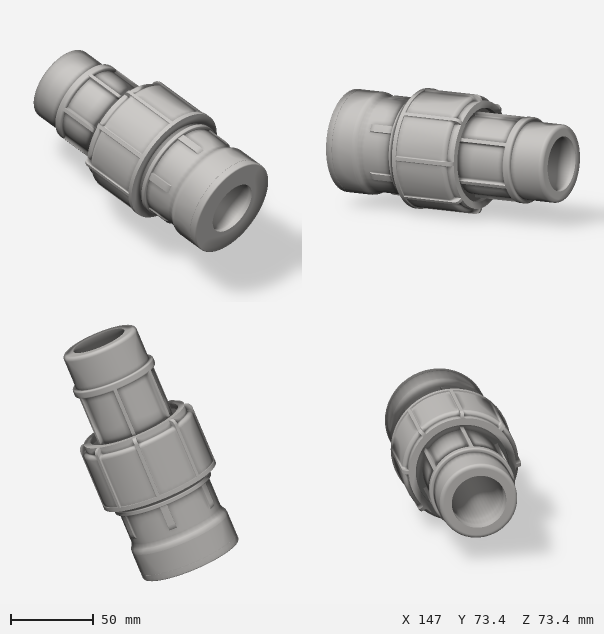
import cadquery as cq
import math

total_length = 147.0
bore_diameter = 33.5

pipe_radius = 47.8 / 2
pipe_end_fillet = 2.4
collar_radius = 52.6 / 2
collar_start = 21.6
collar_end = 26.5
collar_fillet = 1.0

rib_width = 2.2
pipe_rib_fillet = 1.0
nut_rib_fillet = 0.9
pipe_rib_count = 6
nut_rib_count = 8

nut_start = 56.3
nose_end = 60.7
nut_flange_start = 94.8
nut_end = 97.5
nut_outer_radius = 73.4 / 2
nut_body_radius = 35.7
nut_shoulder_fillet = 2.6
nose_front_radius = 33.0
nose_back_radius = nut_body_radius - nut_shoulder_fillet
nut_rib_nose_radius = 3.7
nut_mouth_radius = 57.3 / 2
nut_mouth_depth = 3.5

spigot_radius = 59.7 / 2
body_flange_start = 100.4
body_flange_end = 103.0
socket_radius = 62.8 / 2
body_flange_fillet = 0.5
neck_radius = 58.4 / 2
neck_end = 122.7
socket_start = 128.9
seam_start = 142.3
seam_width = 0.5
seam_depth = 0.1
socket_end_fillet = 0.7

lug_radius = 30.3
lug_width = 4.7
lug_root_fillet = 0.5
lug_end = 118.9
long_lug_end = 120.1
lug_ramp_length = 3.0
lug_count = 6

overlap = 3.0

radius_tolerance = 0.03


def cylinder(radius, start, end):
    """Cylinder about the X axis between two positions."""
    return cq.Workplane("YZ", origin=(start, 0, 0)).circle(radius).extrude(end - start)


def revolve_about_x(outline):
    """Turn a closed (x, radius) outline about the X axis."""
    return outline.revolve(360, (0, 0, 0), (1, 0, 0))


def radial_blades(width, first_angle, count, pitch):
    """Slabs reaching outwards from the axis; angle 0 points to +Z."""
    blade = cq.Workplane("XY").box(
        total_length, width, nut_outer_radius + overlap, centered=(False, True, False)
    )
    blades = cq.Workplane("XY")
    for index in range(count):
        angle = first_angle + index * pitch
        blades = blades.union(blade.rotate((0, 0, 0), (1, 0, 0), angle))
    return blades


def root_edges(shape, radius, start, end):
    """Lengthwise edges where blades meet a cylinder of the given radius."""
    found = []
    for edge in shape.edges("|X").vals():
        middle = edge.Center()
        on_radius = abs(math.hypot(middle.y, middle.z) - radius) < radius_tolerance
        if on_radius and start < middle.x < end:
            found.append(edge)
    return shape.newObject(found)


def make_pipe():
    pitch = 360 / pipe_rib_count
    rib_start = (collar_start + collar_end) / 2
    rib_end = nut_start + nut_mouth_depth + overlap
    ring = cylinder(collar_radius, rib_start, rib_end)
    ribs = ring.intersect(radial_blades(rib_width, 0, pipe_rib_count, pitch))
    tube = cylinder(pipe_radius, 0, rib_end)
    tube = tube.faces("<X").edges().fillet(pipe_end_fillet)
    pipe = tube.union(ribs)
    pipe = root_edges(pipe, pipe_radius, collar_start, rib_end).fillet(pipe_rib_fillet)
    collar = cylinder(collar_radius, collar_start, collar_end).edges().fillet(collar_fillet)
    return pipe.union(collar)


def make_nut():
    shoulder_end = nose_end + nut_shoulder_fillet
    arc_offset = nut_shoulder_fillet * (1 - math.sqrt(0.5))
    body = revolve_about_x(
        cq.Workplane("XY")
        .moveTo(nut_start, 0)
        .lineTo(nut_start, nose_front_radius)
        .lineTo(nose_end, nose_back_radius)
        .threePointArc(
            (nose_end + arc_offset, nut_body_radius - arc_offset),
            (shoulder_end, nut_body_radius),
        )
        .lineTo(nut_flange_start, nut_body_radius)
        .lineTo(nut_flange_start, 0)
        .close()
    )
    pitch = 360 / nut_rib_count
    ring = cylinder(nut_outer_radius, nut_start, nut_flange_start)
    ring = ring.faces("<X").edges().fillet(nut_rib_nose_radius)
    ribs = ring.intersect(radial_blades(rib_width, 0, nut_rib_count, pitch))
    nut = body.union(ribs)
    nut = root_edges(nut, nut_body_radius, nose_end, nut_end).fillet(nut_rib_fillet)
    nut = nut.union(cylinder(nut_outer_radius, nut_flange_start, nut_end))
    mouth_floor = nut_start + nut_mouth_depth
    return nut.cut(cylinder(nut_mouth_radius, nut_start, mouth_floor))


def lug_ring(end):
    """Ring with a rounded +X shoulder falling from the lug top to the neck."""
    rise = lug_radius - neck_radius
    ramp_radius = (lug_ramp_length**2 + rise**2) / (2 * rise)
    ramp_start = end - lug_ramp_length
    half_angle = math.asin(lug_ramp_length / ramp_radius) / 2
    ramp_middle = (
        ramp_start + ramp_radius * math.sin(half_angle),
        lug_radius - ramp_radius * (1 - math.cos(half_angle)),
    )
    return revolve_about_x(
        cq.Workplane("XY")
        .moveTo(body_flange_start, 0)
        .lineTo(body_flange_start, lug_radius)
        .lineTo(ramp_start, lug_radius)
        .threePointArc(ramp_middle, (end, neck_radius))
        .lineTo(end, 0)
        .close()
    )


def make_body():
    flare_middle = (
        (neck_end + socket_start) / 2,
        (neck_radius + socket_radius) / 2,
    )
    core = revolve_about_x(
        cq.Workplane("XY")
        .moveTo(nut_end - overlap, 0)
        .lineTo(nut_end - overlap, spigot_radius)
        .lineTo(body_flange_start, spigot_radius)
        .lineTo(body_flange_start, neck_radius)
        .lineTo(neck_end, neck_radius)
        .tangentArcPoint(flare_middle, relative=False)
        .tangentArcPoint((socket_start, socket_radius), relative=False)
        .lineTo(total_length, socket_radius)
        .lineTo(total_length, 0)
        .close()
    )
    seam_end = seam_start + seam_width
    seam = cylinder(socket_radius, seam_start, seam_end)
    seam = seam.cut(cylinder(socket_radius - seam_depth, seam_start, seam_end))
    core = core.cut(seam)
    core = core.faces(">X").edges().fillet(socket_end_fillet)
    pitch = 360 / lug_count
    lugs = lug_ring(lug_end).intersect(radial_blades(lug_width, pitch, lug_count - 1, pitch))
    long_lug = lug_ring(long_lug_end).intersect(radial_blades(lug_width, 0, 1, pitch))
    body = core.union(lugs).union(long_lug)
    body = root_edges(body, neck_radius, body_flange_start, neck_end).fillet(lug_root_fillet)
    flange = cylinder(socket_radius, body_flange_start, body_flange_end)
    return body.union(flange.edges().fillet(body_flange_fillet))


bore = cylinder(bore_diameter / 2, 0, total_length)
result = make_pipe().union(make_nut()).union(make_body()).cut(bore)